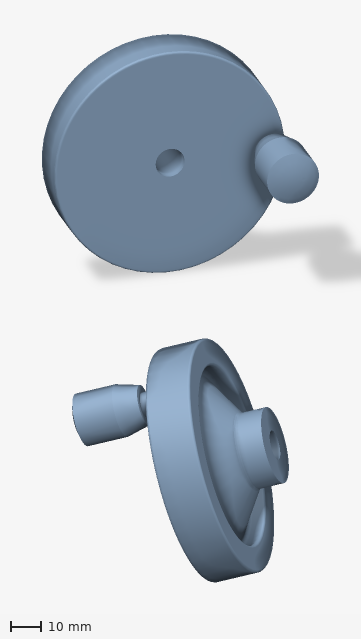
import cadquery as cq
import math

WHEEL_RADIUS = 40.0
RIM_FRONT = 15.2
RIM_BACK = 31.0
RIM_EDGE_RADIUS = 0.8
HUB_RADIUS = 13.0
BORE_DIAMETER = 10.0
RECESS_RADIUS = 61.64 / 2
CONE_START = 9.2
CONE_HALF_ANGLE = 54.0
CORNER_RADIUS = 1.22

HANDLE_OFFSET = 35.41
PIN_RADIUS = 8.64 / 2
PIN_LENGTH = 2.0
PIN_EMBED = 2.0
GRIP_RADIUS = 9.0
GRIP_NECK_RADIUS = 6.9
GRIP_TAPER_LENGTH = 8.1
GRIP_END = 57.21
DOME_HEIGHT = 2.0

cone_end = CONE_START + (RECESS_RADIUS - HUB_RADIUS) / math.tan(math.radians(CONE_HALF_ANGLE))


def turned(profile, axis_y=0.0):
    """Revolve a closed (X, radius) profile about the line Y = axis_y parallel to X."""
    body = profile.close().revolve(360, (0, 0, 0), (1, 0, 0))
    return body.translate((0, axis_y, 0))


def circles_at(x):
    """Selector for the wheel edges that lie in the plane at station x."""
    half_thickness = 0.01
    reach = WHEEL_RADIUS + 1
    low = (x - half_thickness, -reach, -reach)
    high = (x + half_thickness, reach, reach)
    return cq.selectors.BoxSelector(low, high, boundingbox=True)


def make_wheel():
    """Hub, dished cone and rim with a flat back and a through bore."""
    profile = (
        cq.Workplane("XY")
        .moveTo(0, 0)
        .lineTo(0, HUB_RADIUS)
        .lineTo(CONE_START, HUB_RADIUS)
        .lineTo(cone_end, RECESS_RADIUS)
        .lineTo(RIM_FRONT, RECESS_RADIUS)
        .lineTo(RIM_FRONT, WHEEL_RADIUS)
        .lineTo(RIM_BACK, WHEEL_RADIUS)
        .lineTo(RIM_BACK, 0)
    )
    wheel = turned(profile)
    rim_edges = circles_at(RIM_FRONT) + circles_at(RIM_BACK)
    recess_corners = circles_at(CONE_START) + circles_at(cone_end)
    wheel = wheel.edges(rim_edges).fillet(RIM_EDGE_RADIUS)
    wheel = wheel.edges(recess_corners).fillet(CORNER_RADIUS)
    bore = cq.Workplane("YZ").circle(BORE_DIAMETER / 2).extrude(RIM_BACK)
    return wheel.cut(bore)


def make_handle():
    """Pin, tapered grip and domed end, with the pin root buried in the rim."""
    grip_start = RIM_BACK + PIN_LENGTH
    taper_end = grip_start + GRIP_TAPER_LENGTH
    dome_start = GRIP_END - DOME_HEIGHT
    dome_radius = (GRIP_RADIUS**2 + DOME_HEIGHT**2) / (2 * DOME_HEIGHT)
    dome_half_angle = math.asin(GRIP_RADIUS / dome_radius) / 2
    dome_mid_x = GRIP_END - dome_radius * (1 - math.cos(dome_half_angle))
    dome_mid_radius = dome_radius * math.sin(dome_half_angle)
    profile = (
        cq.Workplane("XY")
        .moveTo(RIM_BACK - PIN_EMBED, 0)
        .lineTo(RIM_BACK - PIN_EMBED, PIN_RADIUS)
        .lineTo(grip_start, PIN_RADIUS)
        .lineTo(grip_start, GRIP_NECK_RADIUS)
        .lineTo(taper_end, GRIP_RADIUS)
        .lineTo(dome_start, GRIP_RADIUS)
        .threePointArc((dome_mid_x, dome_mid_radius), (GRIP_END, 0))
    )
    return turned(profile, HANDLE_OFFSET)


result = make_wheel().union(make_handle())